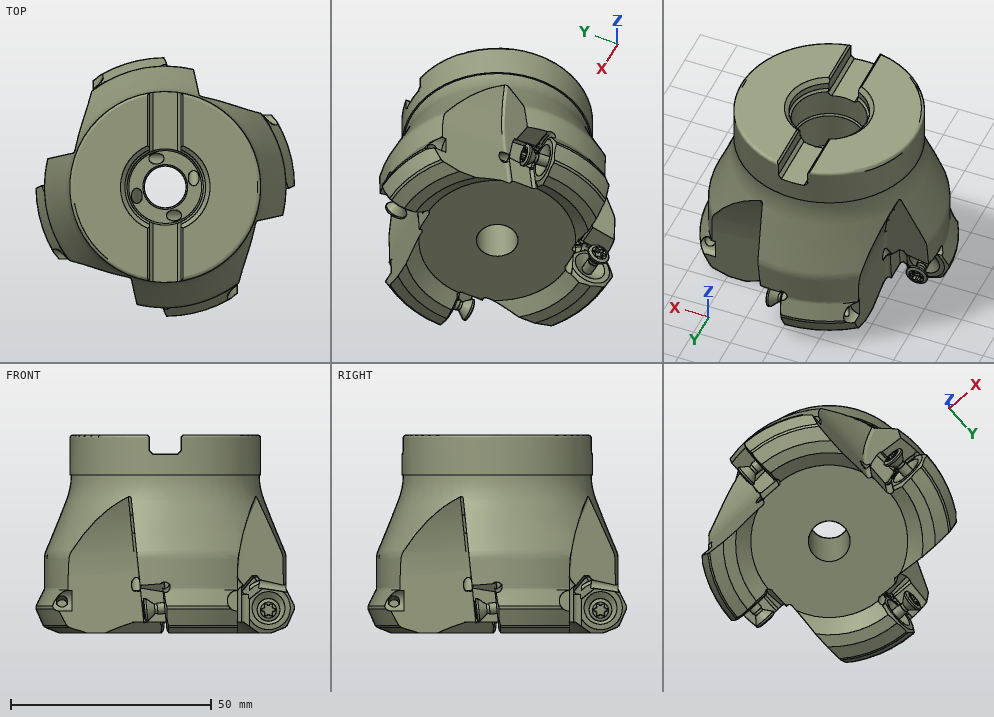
import cadquery as cq
import math

TOOTH_COUNT = 4
TOOTH_PITCH = 360 / TOOTH_COUNT
TILT = 5.8
REACH = 60

HEIGHT = 49.48
HUB_R = 23.85
HUB_BOTTOM_Z = 39.5
HUB_EDGE_FILLET = 0.8
NECK_R = 23.5
NECK_ARC_R = 17.3
CONE_ANGLE = math.radians(22)
BODY_R = 30.2
SHOULDER_Z = 18.6
SHOULDER_ARC_R = 5.0
BODY_BOTTOM_Z = 11.2
FLARE_R = 30.3
FLARE_Z = 10.75
TIP_R = 32.32
TIP_TOP_Z = 6.7
TIP_BOTTOM_Z = 6.0
HEEL_R = 30.5
HEEL_Z = 1.9
SOLE_R = 30.0
SOLE_Z = 1.4
FOOT_R = 26.5
RECESS_R = 23.4
RECESS_TOP_R = 19.6
RECESS_DEPTH = 2.7

BORE_R = 9.525
MOUTH_R = 10.1
MOUTH_DEPTH = 2.8
MOUTH_CHAMFER = 1.1
LOWER_BORE_R = 9.1
BORE_DEPTH = 10.9
BORE_STEP_CHAMFER = BORE_R - LOWER_BORE_R
MOUTH_STEP_CHAMFER = MOUTH_R - BORE_R
LEDGE_Z = 28.0
BOLT_HOLE_R = 5.2
BOLT_HOLE_CHAMFER = 0.4
SLOT_WIDTH = 7.94
SLOT_DEPTH = 4.76
SLOT_CORNER = 0.9
SLOT_EDGE_CHAMFER = 0.5

FLUTE_FLOOR_X = 18.0
FLUTE_WALL_T = -5.05
FLUTE_TANGENT_H = 16.2
FLUTE_ARC_R = 40.0
FLUTE_ARC_RISE = 26.0
FLUTE_FILLET = 0.7

SEAT_T = 0.5
POCKET_INNER_X = 19.1
POCKET_OUTER_X = 40.0
POCKET_BOTTOM_H = -6.0
MOUTH_CORNER_H = 11.8
MOUTH_PEAK_X = 21.7
MOUTH_PEAK_H = 14.9
FOOT_CORNER_H = 10.3
FOOT_PEAK_X = 22.2
FOOT_PEAK_H = 14.0
PEAK_END_X = 22.9
LIP_START_X = 23.5
LIP_START_H = 13.9
LIP_SLANT = -0.23

SEAT_EDGE_X = 21.05
SEAT_EDGE_H = 8.45
SEAT_NOSE_X = 24.2
SEAT_NOSE_H = 11.0
STEP_DEPTH = 0.5

SIDE_GROOVE_R = (SEAT_EDGE_X - POCKET_INNER_X) / 2
SIDE_GROOVE_T = 0.4
SIDE_GROOVE_TOP_H = 9.6

GROOVE_R = 1.25
GROOVE_T = 1.1
GROOVE_START_X = 23.5
GROOVE_START_H = 12.4
GROOVE_SLANT = -0.15

BEVEL_R = 5.45
BEVEL_WIDTH = 1.8
BEVEL_SLOPE = 0.5

SCREW_X = 25.8
SCREW_H = 6.24
HEAD_T = -4.8
HEAD_R = 2.84
HEAD_FACE_R = 2.0
HEAD_BEVEL = 0.3
HEAD_RIM = 0.5
HEAD_CONE = 2.0
SCREW_NECK_R = 1.2
THREAD_R = 1.4
THREAD_START_T = -1.3
THREAD_END_T = 7.0
TORX_CORE_R = 1.2
TORX_LOBE_COUNT = 6
TORX_LOBE_R = 0.4
TORX_LOBE_OFFSET = 1.3
TORX_DEPTH = 1.2
SEAT_CONE_R = 4.1
SEAT_CONE_DEPTH = 1.6

NOTCH_R = 2.6
NOTCH_X = 23.3
NOTCH_Y = 18.1
NOTCH_Z = 8.05

COOLANT_R = 1.35
COOLANT_Y = -7.1
COOLANT_INNER_X = 2.2
COOLANT_OUTER_Z = 12.0
COOLANT_FLUTE_OVERRUN = 1.0
COOLANT_BORE_OVERRUN = 2.0


def tilted(local_shape):
    """Tilt a shape from tooth coordinates about the radial axis."""
    return local_shape.rotate((0, 0, 0), (1, 0, 0), TILT)


def tangential_plane(t, x, h):
    """Plane facing along +t, its local x pointing radially inwards and its local y along h."""
    return cq.Plane(origin=(x, t, h), xDir=(-1, 0, 0), normal=(0, 1, 0))


def at_tooth(shape, index):
    return shape.rotate((0, 0, 0), (0, 0, 1), index * TOOTH_PITCH)


def make_blank():
    """Solid of revolution with the hub, neck, cone and cutting band."""
    def neck_point(angle):
        return (
            NECK_R + NECK_ARC_R * (1 - math.cos(angle)),
            HUB_BOTTOM_Z - NECK_ARC_R * math.sin(angle),
        )

    def shoulder_point(angle):
        return (
            BODY_R - SHOULDER_ARC_R * (1 - math.cos(angle)),
            SHOULDER_Z + SHOULDER_ARC_R * math.sin(angle),
        )

    profile = (
        cq.Workplane("XZ")
        .moveTo(0, HEIGHT)
        .lineTo(HUB_R, HEIGHT)
        .lineTo(HUB_R, HUB_BOTTOM_Z)
        .lineTo(NECK_R, HUB_BOTTOM_Z)
        .threePointArc(neck_point(CONE_ANGLE / 2), neck_point(CONE_ANGLE))
        .lineTo(*shoulder_point(CONE_ANGLE))
        .threePointArc(shoulder_point(CONE_ANGLE / 2), (BODY_R, SHOULDER_Z))
        .lineTo(BODY_R, BODY_BOTTOM_Z)
        .lineTo(FLARE_R, FLARE_Z)
        .lineTo(TIP_R, TIP_TOP_Z)
        .lineTo(TIP_R, TIP_BOTTOM_Z)
        .lineTo(HEEL_R, HEEL_Z)
        .lineTo(SOLE_R, SOLE_Z)
        .lineTo(FOOT_R, 0)
        .lineTo(RECESS_R, 0)
        .lineTo(RECESS_TOP_R, RECESS_DEPTH)
        .lineTo(0, RECESS_DEPTH)
        .close()
    )
    blank = profile.revolve(360, (0, 0, 0), (0, 1, 0))
    return blank.faces(">Z").edges().fillet(HUB_EDGE_FILLET)


def make_bore():
    """Stepped arbor bore with its chamfers and the bolt hole."""
    mouth_z = HEIGHT - MOUTH_DEPTH
    step_z = HEIGHT - BORE_DEPTH
    profile = (
        cq.Workplane("XZ")
        .moveTo(0, HEIGHT)
        .lineTo(MOUTH_R + MOUTH_CHAMFER, HEIGHT)
        .lineTo(MOUTH_R, HEIGHT - MOUTH_CHAMFER)
        .lineTo(MOUTH_R, mouth_z)
        .lineTo(BORE_R, mouth_z - MOUTH_STEP_CHAMFER)
        .lineTo(BORE_R, step_z)
        .lineTo(LOWER_BORE_R, step_z - BORE_STEP_CHAMFER)
        .lineTo(LOWER_BORE_R, LEDGE_Z)
        .lineTo(BOLT_HOLE_R + BOLT_HOLE_CHAMFER, LEDGE_Z)
        .lineTo(BOLT_HOLE_R, LEDGE_Z - BOLT_HOLE_CHAMFER)
        .lineTo(BOLT_HOLE_R, 0)
        .lineTo(0, 0)
        .close()
    )
    return profile.revolve(360, (0, 0, 0), (0, 1, 0))


def make_drive_slot():
    """Drive slot along Y with bevelled floor corners and top edges."""
    half = SLOT_WIDTH / 2
    floor_z = HEIGHT - SLOT_DEPTH
    half_outline = [
        (half - SLOT_CORNER, floor_z),
        (half, floor_z + SLOT_CORNER),
        (half, HEIGHT - SLOT_EDGE_CHAMFER),
        (half + SLOT_EDGE_CHAMFER, HEIGHT),
    ]
    mirrored = [(-x, z) for x, z in reversed(half_outline)]
    return cq.Workplane("XZ").polyline(half_outline + mirrored).close().extrude(REACH, both=True)


def make_flute():
    """Chip flute: flat floor running out in an arc, closed by the tilted wall."""
    def runout_point(angle):
        return (
            FLUTE_FLOOR_X + FLUTE_ARC_R * (1 - math.cos(angle)),
            FLUTE_TANGENT_H + FLUTE_ARC_R * math.sin(angle),
        )

    runout_angle = math.asin(FLUTE_ARC_RISE / FLUTE_ARC_R)
    arc_end_x, arc_end_h = runout_point(runout_angle)
    flute = (
        cq.Workplane("XZ", origin=(0, FLUTE_WALL_T, 0))
        .moveTo(FLUTE_FLOOR_X, -REACH)
        .lineTo(FLUTE_FLOOR_X, FLUTE_TANGENT_H)
        .threePointArc(runout_point(runout_angle / 2), (arc_end_x, arc_end_h))
        .lineTo(REACH, arc_end_h)
        .lineTo(REACH, -REACH)
        .close()
        .extrude(REACH)
    )
    inner_corner = cq.selectors.BoxSelector(
        (FLUTE_FLOOR_X - FLUTE_FILLET, FLUTE_WALL_T - FLUTE_FILLET, -REACH),
        (arc_end_x - FLUTE_FILLET, FLUTE_WALL_T + FLUTE_FILLET, arc_end_h),
    )
    return tilted(flute.edges(inner_corner).fillet(FLUTE_FILLET))


def pocket_sketch(sketch, corner_h, peak_x, peak_h):
    """Pocket section: inner wall, slanted wall, flat peak, then the upper wall."""
    outer_h = LIP_START_H + LIP_SLANT * (POCKET_OUTER_X - LIP_START_X)
    return sketch.polyline([
        (POCKET_INNER_X, POCKET_BOTTOM_H),
        (POCKET_INNER_X, corner_h),
        (peak_x, peak_h),
        (PEAK_END_X, peak_h),
        (LIP_START_X, LIP_START_H),
        (POCKET_OUTER_X, outer_h),
        (POCKET_OUTER_X, POCKET_BOTTOM_H),
    ]).close()


def make_pocket():
    """Insert pocket down to the seat; its slanted wall leans as it goes deeper."""
    seat_sketch = cq.Workplane("XZ", origin=(0, SEAT_T, 0))
    foot = pocket_sketch(seat_sketch, FOOT_CORNER_H, FOOT_PEAK_X, FOOT_PEAK_H)
    mouth_sketch = foot.workplane(offset=SEAT_T - FLUTE_WALL_T)
    mouth = pocket_sketch(mouth_sketch, MOUTH_CORNER_H, MOUTH_PEAK_X, MOUTH_PEAK_H)
    return tilted(mouth.loft(ruled=True))


def make_seat_step():
    """Step between the slanted edge of the seat and the slanted pocket wall."""
    step = (
        cq.Workplane("XZ", origin=(0, SEAT_T, 0))
        .polyline([
            (SEAT_EDGE_X, SEAT_EDGE_H),
            (POCKET_INNER_X, FOOT_CORNER_H),
            (FOOT_PEAK_X, FOOT_PEAK_H),
            (SEAT_NOSE_X, SEAT_NOSE_H),
        ])
        .close()
        .extrude(-STEP_DEPTH)
    )
    return tilted(step)


def make_side_groove():
    """Round groove between the inner pocket wall and the seat."""
    groove = (
        cq.Workplane("XY", origin=(POCKET_INNER_X + SIDE_GROOVE_R, SIDE_GROOVE_T, POCKET_BOTTOM_H))
        .circle(SIDE_GROOVE_R)
        .extrude(SIDE_GROOVE_TOP_H - POCKET_BOTTOM_H)
    )
    return tilted(groove)


def make_upper_groove():
    """Round groove running outwards along the upper edge of the seat."""
    start = cq.Vector(GROOVE_START_X, GROOVE_T, GROOVE_START_H)
    groove = cq.Solid.makeCylinder(GROOVE_R, REACH, start, cq.Vector(1, 0, GROOVE_SLANT))
    return tilted(cq.Workplane(groove))


def make_seat_bevel():
    """Conical bevel around the screw axis, kept clear of the inner pocket wall."""
    bevel = (
        cq.Workplane("XY")
        .polyline([
            (BEVEL_R, SEAT_T),
            (BEVEL_R + BEVEL_WIDTH, SEAT_T),
            (BEVEL_R + BEVEL_WIDTH, SEAT_T + BEVEL_SLOPE * BEVEL_WIDTH),
        ])
        .close()
        .revolve(360, (0, 0, 0), (0, 1, 0))
        .translate((SCREW_X, 0, SCREW_H))
    )
    outer_side = cq.Workplane("XY").box(REACH, REACH, REACH).translate((SEAT_EDGE_X + REACH / 2, 0, 0))
    return tilted(bevel.intersect(outer_side))


def make_screw_hole():
    """Threaded hole through the tooth with a wide countersink in the seat."""
    seat_plane = tangential_plane(SEAT_T, SCREW_X, SCREW_H)
    hole = cq.Workplane(seat_plane).circle(THREAD_R).extrude(REACH / 2)
    countersink = cq.Solid.makeCone(
        SEAT_CONE_R, THREAD_R, SEAT_CONE_DEPTH,
        pnt=cq.Vector(SCREW_X, SEAT_T, SCREW_H), dir=cq.Vector(0, 1, 0),
    )
    return tilted(hole.union(cq.Workplane(countersink)))


def make_notch():
    """Round relief behind the tooth, cut radially inwards to a flat end."""
    return (
        cq.Workplane("YZ", origin=(NOTCH_X, NOTCH_Y, NOTCH_Z))
        .circle(NOTCH_R)
        .extrude(REACH)
    )


def make_coolant_hole():
    """Sloping hole from the bore ledge out to the flute floor."""
    run = FLUTE_FLOOR_X - COOLANT_INNER_X
    rise = LEDGE_Z - COOLANT_OUTER_Z
    length = math.hypot(run, rise)
    direction = cq.Vector(-run / length, 0, rise / length)
    start = cq.Vector(FLUTE_FLOOR_X, COOLANT_Y, COOLANT_OUTER_Z) - direction * COOLANT_FLUTE_OVERRUN
    full_length = length + COOLANT_FLUTE_OVERRUN + COOLANT_BORE_OVERRUN
    hole = cq.Solid.makeCylinder(COOLANT_R, full_length, start, direction)
    return cq.Workplane(hole)


def make_cutter_body():
    """Blank with the bore and slot, then the same set of cuts at every tooth."""
    body = make_blank().cut(make_bore()).cut(make_drive_slot())
    tooth_cuts = [
        make_flute(),
        make_pocket(),
        make_seat_step(),
        make_side_groove(),
        make_upper_groove(),
        make_seat_bevel(),
        make_screw_hole(),
        make_notch(),
        make_coolant_hole(),
    ]
    for index in range(TOOTH_COUNT):
        for tooth_cut in tooth_cuts:
            body = body.cut(at_tooth(tooth_cut, index))
    return body


def make_insert_screw():
    """Countersunk screw with a six-lobe drive, standing in its tooth."""
    bevel_t = HEAD_T + HEAD_BEVEL
    rim_t = bevel_t + HEAD_RIM
    cone_end_t = rim_t + HEAD_CONE
    profile = (
        cq.Workplane("XY")
        .polyline([
            (0, HEAD_T),
            (HEAD_FACE_R, HEAD_T),
            (HEAD_R, bevel_t),
            (HEAD_R, rim_t),
            (SCREW_NECK_R, cone_end_t),
            (SCREW_NECK_R, THREAD_START_T),
            (THREAD_R, THREAD_START_T),
            (THREAD_R, THREAD_END_T),
            (0, THREAD_END_T),
        ])
        .close()
    )
    screw = profile.revolve(360, (0, 0, 0), (0, 1, 0)).translate((SCREW_X, 0, SCREW_H))
    head_plane = tangential_plane(HEAD_T, SCREW_X, SCREW_H)
    core = cq.Workplane(head_plane).circle(TORX_CORE_R).extrude(TORX_DEPTH)
    lobes = (
        cq.Workplane(head_plane)
        .polarArray(TORX_LOBE_OFFSET, 0, 360, TORX_LOBE_COUNT)
        .circle(TORX_LOBE_R)
        .extrude(TORX_DEPTH)
    )
    return tilted(screw.cut(core.union(lobes)))


cutter_body = make_cutter_body()
insert_screws = [at_tooth(make_insert_screw(), index) for index in range(TOOTH_COUNT)]

result = cq.Compound.makeCompound([cutter_body.val(), *[screw.val() for screw in insert_screws]])